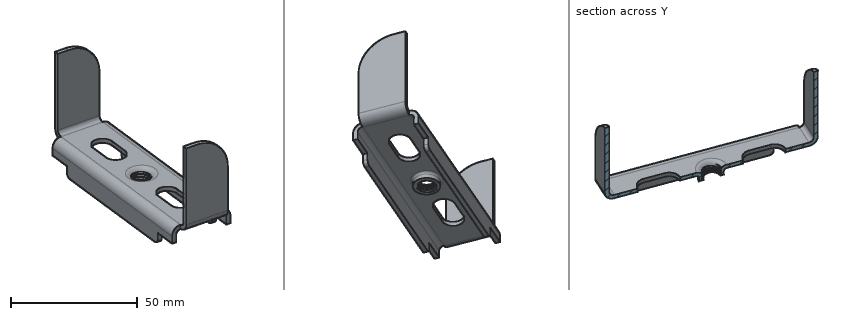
import cadquery as cq
import math

THICKNESS = 2.0
BEND_OUTER = 4.0
BEND_INNER = BEND_OUTER - THICKNESS

LENGTH = 91.0
WIDTH = 28.0
FLAT_LENGTH = LENGTH - 2 * BEND_OUTER
FLAT_WIDTH = WIDTH - 2 * BEND_OUTER
UPRIGHT_TOP = 36.82
UPRIGHT_CORNER_RADIUS = 15.0

SKIRT_BOTTOM = -12.4
SKIRT_STEP = -7.4
SKIRT_TAB_LENGTH = 63.0
SKIRT_TAB_RADIUS = 2.0

SLOT_LENGTH = 18.0
SLOT_WIDTH = 9.0
SLOT_OFFSET = 22.5

COLLAR_BOTTOM = -5.0
BORE_RADIUS = 3.4
COLLAR_RADIUS = BORE_RADIUS + THICKNESS
MOUTH_FILLET = 3.0
ROOT_FILLET = MOUTH_FILLET - THICKNESS
MOUTH_RADIUS = BORE_RADIUS + MOUTH_FILLET
THREAD_PITCH = 1.25
THREAD_ROOT_RADIUS = 4.2
THREAD_INNER_RADIUS = BORE_RADIUS - 0.1
THREAD_HALF_ANGLE = math.radians(30)
THREAD_TURNS = 4.25
THREAD_START_Z = -6.1

DIAGONAL = math.sqrt(0.5)


def bent_leg(plane, flat_end, tip, direction):
    """Closed profile of one bend and its straight leg, in (across, height).

    The bend leaves the base at `flat_end` and turns up (direction 1) or
    down (direction -1) to finish at height `tip`.
    """
    outer_face, inner_face = (-THICKNESS, 0) if direction > 0 else (0, -THICKNESS)
    centre_z = outer_face + direction * BEND_OUTER
    outer_edge = flat_end + BEND_OUTER
    inner_edge = flat_end + BEND_INNER
    outer_mid = (flat_end + BEND_OUTER * DIAGONAL, centre_z - direction * BEND_OUTER * DIAGONAL)
    inner_mid = (flat_end + BEND_INNER * DIAGONAL, centre_z - direction * BEND_INNER * DIAGONAL)
    return (
        cq.Workplane(plane)
        .moveTo(flat_end, outer_face)
        .threePointArc(outer_mid, (outer_edge, centre_z))
        .lineTo(outer_edge, tip)
        .lineTo(inner_edge, tip)
        .lineTo(inner_edge, centre_z)
        .threePointArc(inner_mid, (flat_end, inner_face))
        .close()
    )


def make_base():
    return cq.Workplane("XY").box(FLAT_LENGTH, FLAT_WIDTH, THICKNESS).translate((0, 0, -THICKNESS / 2))


def make_upright():
    leg = bent_leg("XZ", FLAT_LENGTH / 2, UPRIGHT_TOP, 1).extrude(FLAT_WIDTH / 2, both=True)
    return leg.edges("|X and >Z and >Y").fillet(UPRIGHT_CORNER_RADIUS)


def make_skirt():
    leg = bent_leg("YZ", FLAT_WIDTH / 2, SKIRT_STEP, -1).extrude(FLAT_LENGTH / 2, both=True)
    tab_height = SKIRT_STEP - SKIRT_BOTTOM
    tab = (
        cq.Workplane("XY")
        .box(SKIRT_TAB_LENGTH, THICKNESS, tab_height)
        .edges("|Y and <Z")
        .fillet(SKIRT_TAB_RADIUS)
        .translate((0, (WIDTH - THICKNESS) / 2, (SKIRT_STEP + SKIRT_BOTTOM) / 2))
    )
    return leg.union(tab)


def collar_blank(neck_radius, fillet_radius, face_z):
    """Round stem down to the collar bottom, flared by a fillet into a face at `face_z`."""
    fillet_centre_r = neck_radius + fillet_radius
    fillet_end_z = face_z - fillet_radius
    fillet_mid = (
        fillet_centre_r - fillet_radius * DIAGONAL,
        fillet_end_z + fillet_radius * DIAGONAL,
    )
    return (
        cq.Workplane("XZ")
        .moveTo(0, face_z)
        .lineTo(fillet_centre_r, face_z)
        .threePointArc(fillet_mid, (neck_radius, fillet_end_z))
        .lineTo(neck_radius, COLLAR_BOTTOM)
        .lineTo(0, COLLAR_BOTTOM)
        .close()
        .revolve(360, (0, 0), (0, 1))
    )


def make_thread_groove():
    """Right-handed V groove that starts below the collar and runs out in its mouth."""
    half_width = (THREAD_ROOT_RADIUS - THREAD_INNER_RADIUS) * math.tan(THREAD_HALF_ANGLE)
    helix = cq.Wire.makeHelix(THREAD_PITCH, THREAD_TURNS * THREAD_PITCH, THREAD_INNER_RADIUS)
    return (
        cq.Workplane("XZ")
        .moveTo(THREAD_INNER_RADIUS, half_width)
        .lineTo(THREAD_ROOT_RADIUS, 0)
        .lineTo(THREAD_INNER_RADIUS, -half_width)
        .close()
        .sweep(cq.Workplane(helix), isFrenet=True)
        .translate((0, 0, THREAD_START_Z))
    )


def make_collar():
    """Threaded collar together with the disc of the base around its mouth."""
    disc = cq.Workplane("XY").circle(MOUTH_RADIUS).extrude(-THICKNESS)
    bore = cq.Workplane("XY").circle(BORE_RADIUS).extrude(COLLAR_BOTTOM)
    collar = disc.union(collar_blank(COLLAR_RADIUS, ROOT_FILLET, -THICKNESS))
    collar = collar.cut(bore).cut(make_thread_groove())
    return collar.cut(collar_blank(BORE_RADIUS, MOUTH_FILLET, 0))


def add_collar(body):
    opening = cq.Workplane("XY").circle(MOUTH_RADIUS).extrude(-THICKNESS)
    return body.cut(opening).union(make_collar())


def cut_slots(body):
    slots = (
        cq.Workplane("XY")
        .pushPoints([(-SLOT_OFFSET, 0), (SLOT_OFFSET, 0)])
        .slot2D(SLOT_LENGTH, SLOT_WIDTH)
        .extrude(-THICKNESS)
    )
    return body.cut(slots)


upright = make_upright()
skirt = make_skirt()
bracket = make_base()
bracket = bracket.union(upright).union(upright.mirror("YZ"))
bracket = bracket.union(skirt).union(skirt.mirror("XZ"))
bracket = cut_slots(bracket)
result = add_collar(bracket)